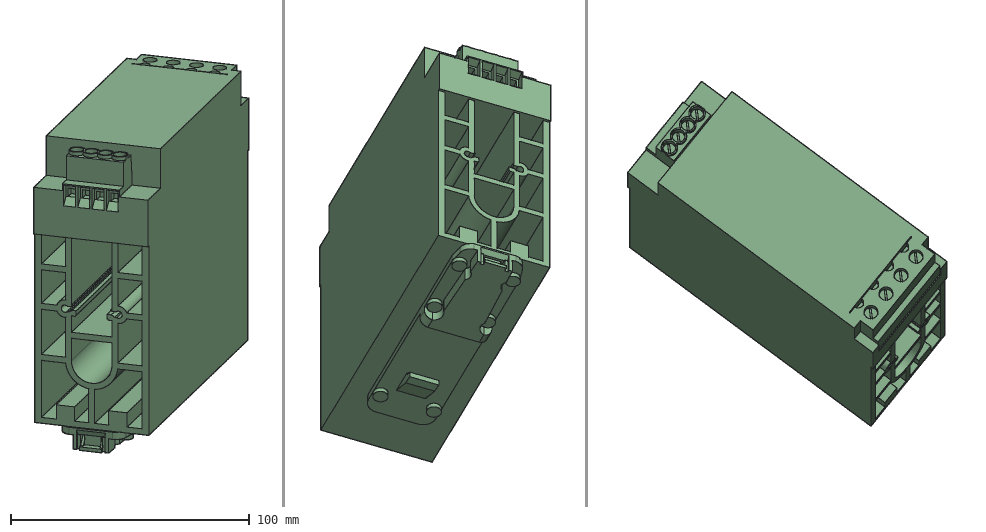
import cadquery as cq
import math


width = 50.6
height = 131.7
head_depth = 130.0
base_z = 9.5
head_z = 93.5
overhang = 1.0
front_step_y = 16.1
front_step_z = 114.2
corner_y = 120.1
corner_z = 116.5
shell_front = overhang
shell_rear = head_depth - overhang

wall = 3.0
rib = 2.6
floor_z = base_z + rib
channel_half = 9.0
channel_outer = channel_half + rib
bowl_z = 38.7
bridge_z = 50.0
side_rib_zs = (78.9, 61.4, 38.7)
post_inner = 7.5
post_width = 8.2
post_top = 18.5

eye_x = 11.9
eye_z = 61.5
eye_outer_radius = 3.8
eye_bore_radius = 1.6

pole_count = 4
front_pitch = 6.3
front_block_half = 12.6
front_screw_y = 9.9
front_block_bottom = 106.0
front_block_top = 127.9
front_block_face_y = 5.1
front_block_back_y = 14.8
front_block_bevel_z = 119.6
front_ledge_z = 117.2
front_boss_top = 129.5
front_boss_radius = 3.4
front_bore_radius = 2.8
front_bore_depth = 3.7
rear_pitch = 10.3
rear_block_half = 21.1
rear_pocket_front = 114.2
rear_block_front = 114.6
rear_block_step = 126.8
rear_block_rear = 129.5
rear_block_bottom = 108.4
rear_ledge_z = 120.1
rear_screw_y = 121.3
rear_bore_radius = 2.9
rear_bore_depth = 3.0
rear_notch_radius = 2.2
rear_notch_depth = 4.0
screw_slot_width = 0.8
screw_slot_depth = 1.0

entry_width = 5.3
entry_depth = 3.3
entry_bottom = 107.5
entry_top = 116.7
entry_back_bottom = 110.6
entry_back_top = 115.4
clamp_width = 3.4
clamp_depth = 4.0
clamp_bottom = 110.6
clamp_top = 114.3

foot_half = 15.3
foot_bottom = 6.3
foot_rear = 106.8
foot_corner = 5.8
pin_x = 12.1
pin_radius = 3.2
pin_bottom = 4.2
pin_ys = (9.7, 36.7, 95.5)
jaw_front = 40.2
jaw_rear = 45.0
jaw_round = 4.1
nose_half = 9.6
nose_shoulder = (14.1, 4.2)
nose_arc_mid = (12.5, 1.3)
nose_end_y = 9.7
slider_half = 11.7
latch_slot_half = 6.3
tongue_half = 6.6
handle_half = 4.9
handle_top = 1.6
handle_reach = 0.7
grip_half = 3.7
latch_recess = 1.0
grip_depth = 2.6
grip_slope_end = 4.7
lead_in_depth = 1.6
lead_in_top = 8.7


def box(x0, x1, y0, y1, z0, z1):
    return cq.Workplane("XY").box(x1 - x0, y1 - y0, z1 - z0, centered=False).translate((x0, y0, z0))


def wide_box(half, y0, y1, z0, z1):
    return box(-half, half, y0, y1, z0, z1)


def side_profile(points, x0, x1):
    """Extrude a closed (y, z) outline from x0 to x1."""
    return cq.Workplane("YZ").polyline(points).close().extrude(x1 - x0).translate((x0, 0, 0))


def shell_profile(points):
    """Extrude a closed (x, z) outline over the depth of the shell."""
    depth = shell_rear - shell_front
    return cq.Workplane("XZ").polyline(points).close().extrude(-depth).translate((0, shell_front, 0))


def shell_rod(x, z, radius):
    depth = shell_rear - shell_front
    return cq.Workplane("XZ").center(x, z).circle(radius).extrude(-depth).translate((0, shell_front, 0))


def shell_box(x0, x1, z0, z1):
    return box(x0, x1, shell_front, shell_rear, z0, z1)


def upright_rod(x, y, radius, z0, z1):
    return cq.Workplane("XY").center(x, y).circle(radius).extrude(z1 - z0).translate((0, 0, z0))


def both_sides(half):
    return half.union(half.mirror("YZ"))


def pole_xs(pitch):
    return [(i - (pole_count - 1) / 2) * pitch for i in range(pole_count)]


def screw_recess(x, y, top, radius, depth):
    """Round recess with a diagonal screwdriver slot in its bottom."""
    slot_length = 2 * math.sqrt(radius ** 2 - (screw_slot_width / 2) ** 2)
    slot = (
        cq.Workplane("XY").box(slot_length, screw_slot_width, screw_slot_depth + depth)
        .rotate((0, 0, 0), (0, 0, 1), 45)
        .translate((x, y, top - (screw_slot_depth + depth) / 2))
    )
    return upright_rod(x, y, radius, top - depth, top).union(slot)


def housing():
    half = width / 2
    body = wide_box(half, 0, head_depth, head_z, height)
    body = body.union(wide_box(half, shell_front, shell_rear, base_z, head_z))
    body = body.cut(wide_box(half, 0, front_step_y, front_step_z, height))
    body = body.cut(wide_box(half, corner_y, head_depth, corner_z, height))
    return body.cut(shell_box(wall - half, half - wall, floor_z, head_z))


def rib_lattice():
    side = shell_box(-channel_outer, -channel_half, bowl_z, head_z)
    for z in side_rib_zs:
        side = side.union(shell_box(wall - width / 2, -channel_half - rib / 2, z - rib / 2, z + rib / 2))
    side = side.union(shell_box(-post_inner - post_width, -post_inner, floor_z, post_top))
    side = snap_eye(side)
    bowl = shell_rod(0, bowl_z, channel_outer).cut(shell_rod(0, bowl_z, channel_half))
    bowl = bowl.cut(shell_box(-channel_outer, channel_outer, bowl_z, bowl_z + channel_outer))
    stem = shell_box(-rib / 2, rib / 2, floor_z, bowl_z - channel_half - rib / 2)
    bridge = shell_box(-channel_half, channel_half, bridge_z - rib / 2, bridge_z + rib / 2)
    return both_sides(side).union(bowl).union(stem).union(bridge)


def snap_eye(side):
    """Add a slotted eye with two lips to the left channel wall."""
    ring = shell_rod(-eye_x, eye_z, eye_outer_radius)
    ring = ring.cut(shell_box(-channel_half, 0, eye_z - eye_outer_radius, eye_z + eye_outer_radius))
    lower_lip = shell_profile([(-eye_x, 58.6), (-7.4, 58.6), (-6.8, 59.1), (-6.8, 61.1), (-eye_x, 61.1)])
    upper_lip = shell_profile([(-channel_half, 62.7), (-8.4, 63.2), (-channel_half, 63.5)])
    mouth = shell_profile([(-eye_x, 60.0), (-10.3, 60.2), (-8.7, 61.1), (-8.2, 62.7), (-eye_x, 62.7)])
    side = side.union(ring).union(lower_lip).union(upper_lip)
    return side.cut(shell_rod(-eye_x, eye_z, eye_bore_radius)).cut(mouth)


def front_terminal_block():
    outline = [
        (0, front_block_bottom), (front_step_y, front_block_bottom),
        (front_step_y, front_block_bevel_z), (front_block_back_y, front_block_top),
        (front_block_face_y, front_block_top), (front_block_face_y, front_ledge_z), (0, front_ledge_z),
    ]
    block = side_profile(outline, -front_block_half, front_block_half)
    limits = wide_box(front_block_half, 0, front_step_y, front_block_top, front_boss_top)
    for x in pole_xs(front_pitch):
        boss = upright_rod(x, front_screw_y, front_boss_radius, front_block_top, front_boss_top)
        block = block.union(boss.intersect(limits))
    for x in pole_xs(front_pitch):
        block = block.cut(screw_recess(x, front_screw_y, front_boss_top, front_bore_radius, front_bore_depth))
    return block


def wire_entries():
    outline = [
        (0, entry_bottom), (entry_depth, entry_back_bottom),
        (entry_depth, entry_back_top), (0, entry_top),
    ]
    clamp_end = entry_depth + clamp_depth
    entries = cq.Workplane("XY")
    for x in pole_xs(front_pitch):
        entries = entries.add(side_profile(outline, x - entry_width / 2, x + entry_width / 2))
        half = clamp_width / 2
        entries = entries.add(box(x - half, x + half, entry_depth, clamp_end, clamp_bottom, clamp_top))
    return entries.combine()


def rear_terminal_block():
    block = wide_box(rear_block_half, rear_block_front, rear_block_step, rear_block_bottom, height)
    ledge = wide_box(rear_block_half, rear_block_step, rear_block_rear, rear_block_bottom, rear_ledge_z)
    return block.union(ledge)


def rear_block_recesses():
    recesses = cq.Workplane("XY")
    block_space = wide_box(rear_block_half, rear_block_front, head_depth, rear_block_bottom, height)
    for x in pole_xs(rear_pitch):
        recesses = recesses.add(screw_recess(x, rear_screw_y, height, rear_bore_radius, rear_bore_depth))
        notch = upright_rod(x, rear_block_front, rear_notch_radius, height - rear_notch_depth, height)
        recesses = recesses.add(notch.intersect(block_space))
    return recesses.combine()


def foot_plate():
    half_plate = (
        cq.Workplane("XY")
        .moveTo(0, 0)
        .lineTo(-nose_half, 0)
        .threePointArc((-nose_arc_mid[0], nose_arc_mid[1]), (-nose_shoulder[0], nose_shoulder[1]))
        .lineTo(-foot_half, nose_end_y)
        .lineTo(-foot_half, foot_rear)
        .lineTo(0, foot_rear)
        .close()
        .extrude(base_z - foot_bottom)
        .translate((0, 0, foot_bottom))
    )
    plate = both_sides(half_plate.edges("|Z and >Y and <X").fillet(foot_corner))
    for y in pin_ys:
        for x in (-pin_x, pin_x):
            plate = plate.union(upright_rod(x, y, pin_radius, pin_bottom, foot_bottom))
    return plate


def latch():
    slider = both_sides(
        cq.Workplane("XY")
        .moveTo(0, 0)
        .lineTo(-7.9, 0)
        .lineTo(-8.2, 7.2)
        .threePointArc((-7.0, 9.7), (-8.4, 12.4))
        .lineTo(-9.4, 33.5)
        .threePointArc((-8.7, 37.1), (-slider_half, jaw_front))
        .lineTo(-slider_half, jaw_rear)
        .lineTo(0, jaw_rear)
        .close()
        .extrude(foot_bottom)
    )
    jaw = wide_box(foot_half, jaw_front, jaw_rear, 0, foot_bottom)
    jaw = jaw.edges("|Y and <Z").fillet(jaw_round)
    hook = side_profile(
        [(jaw_rear, foot_bottom), (46.2, 5.7), (47.5, 5.0), (jaw_rear, 2.1)], -tongue_half, tongue_half)
    return slider.union(jaw).union(hook)


def latch_slot():
    """Recess in the latch front, with a sloping lead-in above it and a grip pocket with sloping ends."""
    recess = wide_box(latch_slot_half, 0, latch_recess, 0, foot_bottom)
    lead_in = side_profile(
        [(0, foot_bottom), (lead_in_depth, foot_bottom), (0, lead_in_top)], -latch_slot_half, latch_slot_half)
    pocket = wide_box(grip_half, 0, grip_depth, handle_top, foot_bottom)
    pocket_end = side_profile(
        [(latch_recess, handle_top), (grip_slope_end, foot_bottom), (latch_recess, foot_bottom)],
        -handle_half, -grip_half)
    return recess.union(lead_in).union(pocket).union(both_sides(pocket_end))


def latch_handle():
    return wide_box(handle_half, -handle_reach, latch_recess, 0, handle_top)


def spring_arm():
    outline = [
        (91.4, foot_bottom), (81.4, 1.8), (76.9, 1.5), (76.9, 4.1), (80.1, 5.7), (80.1, foot_bottom),
    ]
    return side_profile(outline, -tongue_half, tongue_half)


rear_pocket = wide_box(rear_block_half, rear_pocket_front, head_depth, rear_block_bottom, height)

result = housing().union(rib_lattice())
result = result.union(front_terminal_block()).cut(wire_entries())
result = result.cut(rear_pocket).union(rear_terminal_block()).cut(rear_block_recesses())
result = result.union(foot_plate()).union(latch()).union(spring_arm())
result = result.cut(latch_slot()).union(latch_handle())